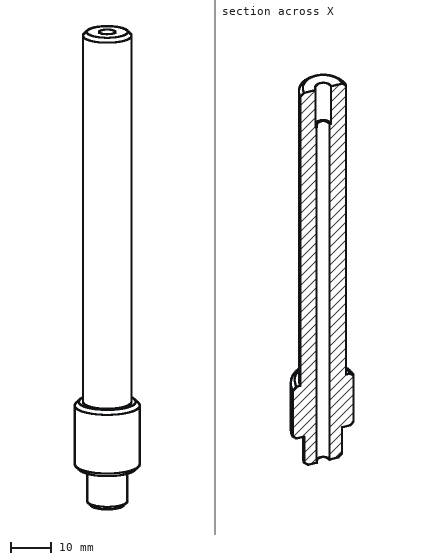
import cadquery as cq

total_length = 121.5
rod_diameter = 12.0
collar_diameter = 16.0
spigot_diameter = 10.0
spigot_length = 9.5
collar_length = 17.0
edge_chamfer = 1.0
bore_diameter = 3.3
counterbore_diameter = 4.0
counterbore_depth = 12.2


def chamfered_cylinder(diameter, bottom, length, chamfered_edges):
    """Cylinder along Z with a chamfer on the selected circular edges."""
    cylinder = cq.Workplane("XY").workplane(offset=bottom).circle(diameter / 2).extrude(length)
    return cylinder.faces(chamfered_edges).edges().chamfer(edge_chamfer)


collar_top = spigot_length + collar_length
spigot = chamfered_cylinder(spigot_diameter, 0, spigot_length, "<Z")
collar = chamfered_cylinder(collar_diameter, spigot_length, collar_length, "|Z")
rod = chamfered_cylinder(rod_diameter, collar_top, total_length - collar_top, ">Z")
shaft = spigot.union(collar).union(rod)

bore = cq.Workplane("XY").circle(bore_diameter / 2).extrude(total_length)
counterbore = (
    cq.Workplane("XY")
    .workplane(offset=total_length)
    .circle(counterbore_diameter / 2)
    .extrude(-counterbore_depth)
)

result = shaft.cut(bore).cut(counterbore)